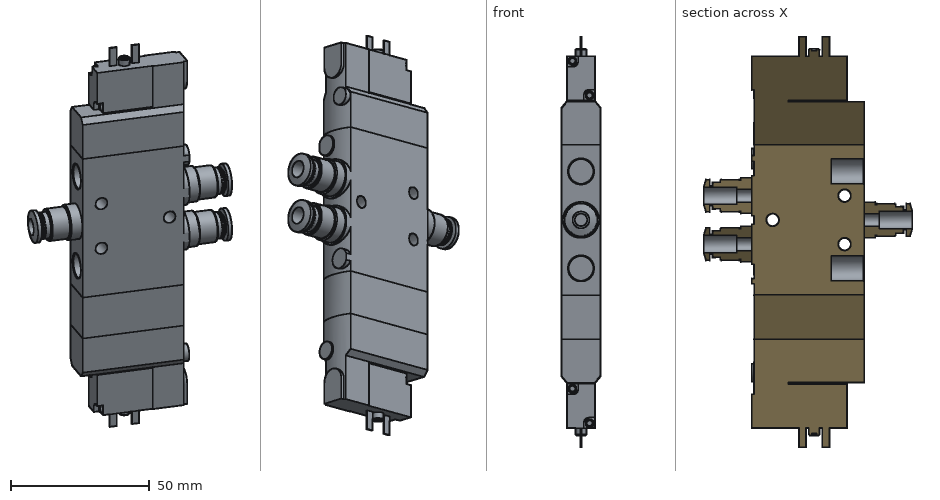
import cadquery as cq
import math


OVERALL_LENGTH = 148.0
BODY_WIDTH = 14.0
BODY_HALF = BODY_WIDTH / 2
SEAT_Y = 20.3
BACK_CROWN_Y = 19.5
BACK_EDGE_Y = 18.0
MAIN_LENGTH = 54.2
SPACER_LENGTH = 16.0
STACK_HALF = (MAIN_LENGTH + SPACER_LENGTH) / 2
MAIN_BOTTOM = STACK_HALF - MAIN_LENGTH
MAIN_CENTER = STACK_HALF - MAIN_LENGTH / 2

PORT_PITCH = 17.5
PORT_DIAMETER = 8.9
PORT_MOUTH_DIAMETER = 9.5
PORT_DEPTH = 11.8
SEAT_BOSS_DIAMETER = 14.5
BUTTON_DIAMETER = 7.4
BUTTON_X = 3.5
BUTTON_OFFSET = 22.0
MOUNT_HOLE_DIAMETER = 4.5
BACK_MOUNT_Y = 12.7
FRONT_MOUNT_Y = -13.2

CAP_TOP = STACK_HALF + 15.5
CAP_CHAMFER_HEIGHT = 2.2
CAP_SCREW_DIAMETER = 6.5
CAP_SCREW_X = -3.7
CAP_SCREW_Z = 47.0
PILOT_HALF = 5.2
PILOT_TOP = 67.0
COVER_INSET = 0.3
COVER_GAP = 0.5
COVER_BACK_Y = 7.0
COVER_FRONT_Y = -14.0
OVERRIDE_RADIUS = 4.5
OVERRIDE_Z = 59.2
POCKET_SIZE = 3.8
POCKET_DEPTH = 2.2
SCREW_INSET = 1.8
SCREW_BASE_DIAMETER = 3.0
SCREW_TOP_DIAMETER = 2.0
SCREW_HEIGHT = 0.7
TERMINAL_Y = -2.2
LAMP_DIAMETER = 4.0
LAMP_HEIGHT = 2.7
LAMP_CHAMFER = 0.5
LAMP_HOLE_DIAMETER = 1.6
LAMP_HOLE_DEPTH = 0.7
BLADE_PITCH = 8.5
BLADE_WIDTH = 2.7
BLADE_THICKNESS = 0.6

COLLAR_DIAMETER = 13.0
COLLAR_END = 4.0
GROOVE_DIAMETER = 11.2
GROOVE_END = 4.5
SLEEVE_DIAMETER = 11.8
SLEEVE_CHAMFER_START = 11.0
SLEEVE_END = 11.4
SLEEVE_END_DIAMETER = 11.2
RING_DIAMETER = 9.8
RING_END = 14.2
NECK_DIAMETER = 7.4
NECK_END = 15.1
FLANGE_DIAMETER = 11.8
FLANGE_RIM_END = 16.6
FLANGE_FACE_DIAMETER = 6.8
FITTING_LENGTH = 17.3
TUBE_DIAMETER = 6.0
TUBE_DEPTH = 11.8
FLOW_DIAMETER = 4.5
NOTCH_COUNT = 30
NOTCH_WIDTH = 0.3
NOTCH_DEPTH = 0.3
NOTCH_LENGTH = 1.0


def block(x_min, x_max, y_min, y_max, z_min, z_max):
    """Box between two opposite corners."""
    size = (x_max - x_min, y_max - y_min, z_max - z_min)
    return cq.Workplane("XY").box(*size, centered=False).translate((x_min, y_min, z_min))


def cylinder_y(x, z, diameter, y_start, y_end):
    """Cylinder along Y from y_start towards y_end."""
    length = abs(y_end - y_start)
    direction = cq.Vector(0, math.copysign(1, y_end - y_start), 0)
    solid = cq.Solid.makeCylinder(diameter / 2, length, cq.Vector(x, y_start, z), direction)
    return cq.Workplane(solid)


def crowned_prism(z_min, z_max):
    """Length of the housing section: flat front and sides, and a crowned back."""
    return (
        cq.Workplane("XY", origin=(0, 0, z_min))
        .moveTo(-BODY_HALF, -SEAT_Y)
        .lineTo(BODY_HALF, -SEAT_Y)
        .lineTo(BODY_HALF, BACK_EDGE_Y)
        .threePointArc((0, BACK_CROWN_Y), (-BODY_HALF, BACK_EDGE_Y))
        .close()
        .extrude(z_max - z_min)
    )


def back_boss(x, z, diameter):
    """Round boss on the back, cut off flush with the housing sides."""
    boss = cylinder_y(x, z, diameter, 0, SEAT_Y)
    return boss.intersect(block(-BODY_HALF, BODY_HALF, 0, SEAT_Y, -STACK_HALF, CAP_TOP))


def port(z):
    """Blind port in the front face with a chamfered mouth."""
    chamfer = (PORT_MOUTH_DIAMETER - PORT_DIAMETER) / 2
    mouth = cq.Solid.makeCone(
        PORT_MOUTH_DIAMETER / 2,
        PORT_DIAMETER / 2,
        chamfer,
        cq.Vector(0, -SEAT_Y, z),
        cq.Vector(0, 1, 0),
    )
    return cylinder_y(0, z, PORT_DIAMETER, -SEAT_Y, PORT_DEPTH - SEAT_Y).union(cq.Workplane(mouth))


def mount_hole(y, z):
    """Mounting hole right through the housing along X."""
    return cq.Workplane("YZ").center(y, z).circle(MOUNT_HOLE_DIAMETER / 2).extrude(BODY_HALF, both=True)


def make_main_segment():
    body = crowned_prism(MAIN_BOTTOM, STACK_HALF)
    for side in (-1, 1):
        outlet_z = MAIN_CENTER + side * PORT_PITCH / 2
        body = body.union(back_boss(0, outlet_z, SEAT_BOSS_DIAMETER))
        body = body.union(back_boss(side * BUTTON_X, MAIN_CENTER + side * BUTTON_OFFSET, BUTTON_DIAMETER))
    for side in (-1, 1):
        body = body.cut(port(MAIN_CENTER + side * PORT_PITCH))
        body = body.cut(mount_hole(FRONT_MOUNT_Y, MAIN_CENTER + side * PORT_PITCH / 2))
    return body.cut(mount_hole(BACK_MOUNT_Y, MAIN_CENTER))


def make_spacer():
    return crowned_prism(-STACK_HALF, MAIN_BOTTOM)


def end_cap():
    """Head base whose sides slope in to the width of the pilot block."""
    outline = (
        cq.Workplane("XZ", origin=(0, SEAT_Y, 0))
        .polyline([
            (-BODY_HALF, STACK_HALF),
            (BODY_HALF, STACK_HALF),
            (BODY_HALF, CAP_TOP - CAP_CHAMFER_HEIGHT),
            (PILOT_HALF, CAP_TOP),
            (-PILOT_HALF, CAP_TOP),
            (-BODY_HALF, CAP_TOP - CAP_CHAMFER_HEIGHT),
        ])
        .close()
        .extrude(2 * SEAT_Y)
    )
    cap = crowned_prism(STACK_HALF, CAP_TOP).intersect(outline)
    return cap.union(cylinder_y(CAP_SCREW_X, CAP_SCREW_Z, CAP_SCREW_DIAMETER, 0, SEAT_Y))


def pilot_block():
    """Rear part of the pilot with the rounded manual override boss on its back."""
    crown = crowned_prism(CAP_TOP, PILOT_TOP)
    body = crown.intersect(block(-PILOT_HALF, PILOT_HALF, COVER_BACK_Y, SEAT_Y, CAP_TOP, PILOT_TOP))
    override = cylinder_y(0, OVERRIDE_Z, 2 * OVERRIDE_RADIUS, COVER_BACK_Y, SEAT_Y).union(
        block(-OVERRIDE_RADIUS, OVERRIDE_RADIUS, COVER_BACK_Y, SEAT_Y, OVERRIDE_Z, PILOT_TOP)
    )
    return body.union(override)


def pilot_cover():
    """Front part of the pilot with a screw in each of two opposite corner pockets."""
    half = PILOT_HALF - COVER_INSET
    bottom = CAP_TOP + COVER_GAP
    cover = block(-half, half, COVER_FRONT_Y, COVER_BACK_Y, bottom, PILOT_TOP)
    floor_y = COVER_FRONT_Y + POCKET_DEPTH
    for side, edge_z in ((-1, PILOT_TOP), (1, bottom)):
        x = side * (half - SCREW_INSET)
        z = edge_z + side * SCREW_INSET
        pocket = (
            cq.Workplane("XY")
            .box(2 * POCKET_SIZE, POCKET_DEPTH, 2 * POCKET_SIZE)
            .edges("|Y")
            .fillet(POCKET_SIZE / 2)
            .translate((side * half, COVER_FRONT_Y + POCKET_DEPTH / 2, edge_z))
        )
        screw = cq.Solid.makeCone(
            SCREW_BASE_DIAMETER / 2,
            SCREW_TOP_DIAMETER / 2,
            SCREW_HEIGHT,
            cq.Vector(x, floor_y, z),
            cq.Vector(0, -1, 0),
        )
        cover = cover.cut(pocket).union(cq.Workplane(screw))
    return cover


def terminals():
    """Two flat blades with the round lamp between them."""
    lamp = (
        cq.Workplane("XY", origin=(0, TERMINAL_Y, PILOT_TOP))
        .circle(LAMP_DIAMETER / 2)
        .extrude(LAMP_HEIGHT)
        .faces(">Z")
        .chamfer(LAMP_CHAMFER)
        .faces(">Z")
        .workplane()
        .hole(LAMP_HOLE_DIAMETER, LAMP_HOLE_DEPTH)
    )
    height = OVERALL_LENGTH / 2 - PILOT_TOP
    blades = (
        cq.Workplane("XY", origin=(0, TERMINAL_Y, PILOT_TOP))
        .pushPoints([(0, -BLADE_PITCH / 2), (0, BLADE_PITCH / 2)])
        .rect(BLADE_THICKNESS, BLADE_WIDTH)
        .extrude(height)
    )
    return lamp, blades


def make_head():
    """Pilot head for the top end of the stack."""
    head = end_cap().union(pilot_block()).union(pilot_cover())
    for part in terminals():
        head = head.union(part)
    return head


def make_fitting():
    """Push-in fitting with its seat on the XY plane and its axis along +Z."""
    outline = [
        (COLLAR_DIAMETER, 0),
        (COLLAR_DIAMETER, COLLAR_END),
        (GROOVE_DIAMETER, COLLAR_END),
        (GROOVE_DIAMETER, GROOVE_END),
        (SLEEVE_DIAMETER, GROOVE_END),
        (SLEEVE_DIAMETER, SLEEVE_CHAMFER_START),
        (SLEEVE_END_DIAMETER, SLEEVE_END),
        (RING_DIAMETER, SLEEVE_END),
        (RING_DIAMETER, RING_END),
        (NECK_DIAMETER, RING_END),
        (NECK_DIAMETER, NECK_END),
        (FLANGE_DIAMETER, NECK_END),
        (FLANGE_DIAMETER, FLANGE_RIM_END),
        (FLANGE_FACE_DIAMETER, FITTING_LENGTH),
        (TUBE_DIAMETER, FITTING_LENGTH),
        (TUBE_DIAMETER, FITTING_LENGTH - TUBE_DEPTH),
        (FLOW_DIAMETER, FITTING_LENGTH - TUBE_DEPTH),
        (FLOW_DIAMETER, 0),
    ]
    points = [(diameter / 2, distance) for diameter, distance in outline]
    fitting = cq.Workplane("XZ").polyline(points).close().revolve(360, (0, 0, 0), (0, 1, 0))
    notches = (
        cq.Workplane("XY", origin=(0, 0, RING_END - NOTCH_LENGTH))
        .polarArray(RING_DIAMETER / 2, 0, 360, NOTCH_COUNT)
        .rect(2 * NOTCH_DEPTH, NOTCH_WIDTH)
        .extrude(NOTCH_LENGTH)
    )
    return fitting.cut(notches)


def place_fitting(fitting, direction, z):
    """Fitting turned to point along +Y or -Y and set on that side's seat."""
    turned = fitting.rotate((0, 0, 0), (1, 0, 0), -90 * direction)
    return turned.translate((0, direction * SEAT_Y, z))


main_segment = make_main_segment()
spacer = make_spacer()

heads = [make_head().rotate((0, 0, 0), (0, 1, 0), angle) for angle in (0, 180)]

FITTING_SEATS = [
    (-1, MAIN_CENTER),
    (1, MAIN_CENTER - PORT_PITCH / 2),
    (1, MAIN_CENTER + PORT_PITCH / 2),
]
fittings = [place_fitting(make_fitting(), direction, z) for direction, z in FITTING_SEATS]

result = cq.Compound.makeCompound([
    main_segment.val(),
    spacer.val(),
    *[head.val() for head in heads],
    *[fitting.val() for fitting in fittings],
])